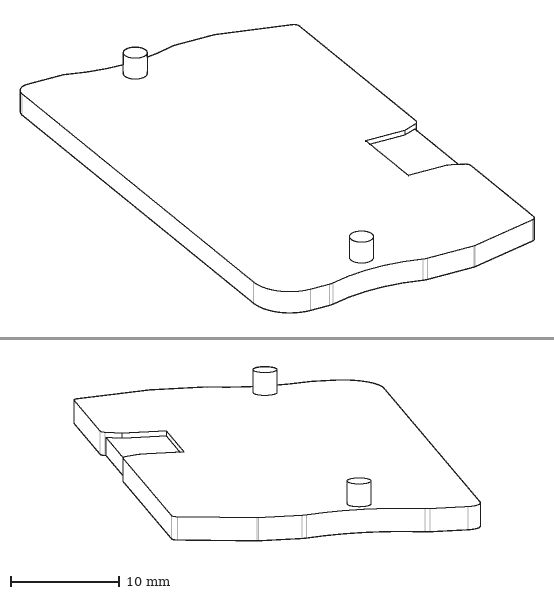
import cadquery as cq

length = 48.5
width = 29.0
plate_thickness = 2.25
shoulder_y = 21.35
taper_inset = 1.95
shoulder_radius = 0.6
top_corner_radius = 0.6
bottom_left_radius = 1.45
bottom_right_radius = 3.9

waist_y = 11.1
left_waist_half_height = 5.8
left_waist_depth = 1.0
right_waist_half_height = 5.0
right_waist_depth = 0.8
waist_blend_radius = 1.45

recess_x = 29.3
recess_half_width = 4.0
recess_mouth_half_width = 4.75
recess_floor_y = 23.0
recess_flare_y = 27.15
recess_depth = 0.5
recess_edge_setback = 0.45
recess_mouth_radius = 0.6

pin_diameter = 2.25
pin_height = 2.2
pin_left_x = 3.1
pin_spacing = 42.25


def round_corner(body, x, y, radius):
    """Round the upright edge nearest to the point (x, y)."""
    middle = (x, y, plate_thickness / 2)
    return body.edges("|Z").edges(cq.selectors.NearestToPointSelector(middle)).fillet(radius)


def make_plate():
    left_waist_bottom = waist_y - left_waist_half_height
    left_waist_top = waist_y + left_waist_half_height
    right_waist_bottom = waist_y - right_waist_half_height
    right_waist_top = waist_y + right_waist_half_height
    plate = (
        cq.Workplane("XY")
        .moveTo(0, 0)
        .lineTo(length, 0)
        .lineTo(length, right_waist_bottom)
        .threePointArc((length - right_waist_depth, waist_y), (length, right_waist_top))
        .lineTo(length, shoulder_y)
        .lineTo(length - taper_inset, width)
        .lineTo(taper_inset, width)
        .lineTo(0, shoulder_y)
        .lineTo(0, left_waist_top)
        .threePointArc((left_waist_depth, waist_y), (0, left_waist_bottom))
        .close()
        .extrude(plate_thickness)
    )
    corners = [
        (0, 0, bottom_left_radius),
        (length, 0, bottom_right_radius),
        (length, right_waist_bottom, waist_blend_radius),
        (length, right_waist_top, waist_blend_radius),
        (length, shoulder_y, shoulder_radius),
        (length - taper_inset, width, top_corner_radius),
        (taper_inset, width, top_corner_radius),
        (0, shoulder_y, shoulder_radius),
        (0, left_waist_top, waist_blend_radius),
        (0, left_waist_bottom, waist_blend_radius),
    ]
    for x, y, radius in corners:
        plate = round_corner(plate, x, y, radius)
    return plate


def cut_recess(plate):
    """Cut the flared opening, then refill it with a thinner, set-back floor."""
    left_mouth_x = recess_x - recess_mouth_half_width
    right_mouth_x = recess_x + recess_mouth_half_width
    opening = (
        cq.Workplane("XY")
        .moveTo(recess_x - recess_half_width, recess_floor_y)
        .lineTo(recess_x + recess_half_width, recess_floor_y)
        .lineTo(recess_x + recess_half_width, recess_flare_y)
        .lineTo(right_mouth_x, width)
        .lineTo(left_mouth_x, width)
        .lineTo(recess_x - recess_half_width, recess_flare_y)
        .close()
        .extrude(plate_thickness)
    )
    opened = plate.cut(opening)
    for mouth_x in (left_mouth_x, right_mouth_x):
        opened = round_corner(opened, mouth_x, width, recess_mouth_radius)

    floor_length = width - recess_edge_setback - recess_floor_y
    floor = (
        cq.Workplane("XY")
        .center(recess_x, recess_floor_y + floor_length / 2)
        .rect(2 * recess_mouth_half_width, floor_length)
        .extrude(plate_thickness - recess_depth)
    )
    return opened.union(floor)


def make_pins():
    return (
        cq.Workplane("XY")
        .pushPoints([(pin_left_x, waist_y), (pin_left_x + pin_spacing, waist_y)])
        .circle(pin_diameter / 2)
        .extrude(plate_thickness + pin_height)
    )


result = cut_recess(make_plate()).union(make_pins())